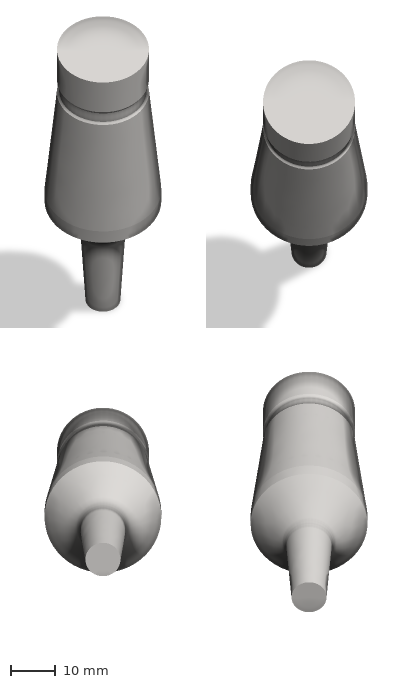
import cadquery as cq
import math

total_height = 80.0
body_diameter = 26.0

stem_tip_radius = 3.9
stem_taper_angle = 3.0

shoulder_angle = 43.0
stem_fillet_radius = 3.0

band_bottom_z = 31.55
band_height = 3.6
grip_height = 31.25

cap_diameter = 20.5
groove_depth = 0.5
groove_lower_bevel_height = 0.5
groove_upper_bevel_height = 0.9
cap_height = 9.5

body_radius = body_diameter / 2
cap_radius = cap_diameter / 2
neck_radius = cap_radius - groove_depth
band_top_z = band_bottom_z + band_height
grip_top_z = band_top_z + grip_height
neck_bottom_z = grip_top_z + groove_lower_bevel_height
cap_bottom_z = total_height - cap_height
neck_top_z = cap_bottom_z - groove_upper_bevel_height

stem_slope = math.tan(math.radians(stem_taper_angle))
shoulder_slope = math.tan(math.radians(shoulder_angle))
shoulder_axis_radius = body_radius - shoulder_slope * band_bottom_z
corner_z = (stem_tip_radius - shoulder_axis_radius) / (shoulder_slope - stem_slope)
corner_radius = stem_tip_radius + stem_slope * corner_z


def point_from_corner(distance, angle):
    """Point at a distance from the corner along a wall leaning outwards by an angle in degrees."""
    lean = math.radians(angle)
    return (corner_radius + distance * math.sin(lean), corner_z + distance * math.cos(lean))


half_bend_angle = (shoulder_angle - stem_taper_angle) / 2
blend_length = stem_fillet_radius * math.tan(math.radians(half_bend_angle))
blend_start = point_from_corner(-blend_length, stem_taper_angle)
blend_end = point_from_corner(blend_length, shoulder_angle)


def half_profile():
    """Right half of the lengthwise section, in the XZ plane, closed along the axis."""
    return (
        cq.Workplane("XZ")
        .moveTo(0, 0)
        .lineTo(stem_tip_radius, 0)
        .lineTo(*blend_start)
        .tangentArcPoint(blend_end, relative=False)
        .lineTo(body_radius, band_bottom_z)
        .lineTo(body_radius, band_top_z)
        .lineTo(cap_radius, grip_top_z)
        .lineTo(neck_radius, neck_bottom_z)
        .lineTo(neck_radius, neck_top_z)
        .lineTo(cap_radius, cap_bottom_z)
        .lineTo(cap_radius, total_height)
        .lineTo(0, total_height)
        .close()
    )


result = half_profile().revolve(360, (0, 0, 0), (0, 1, 0))